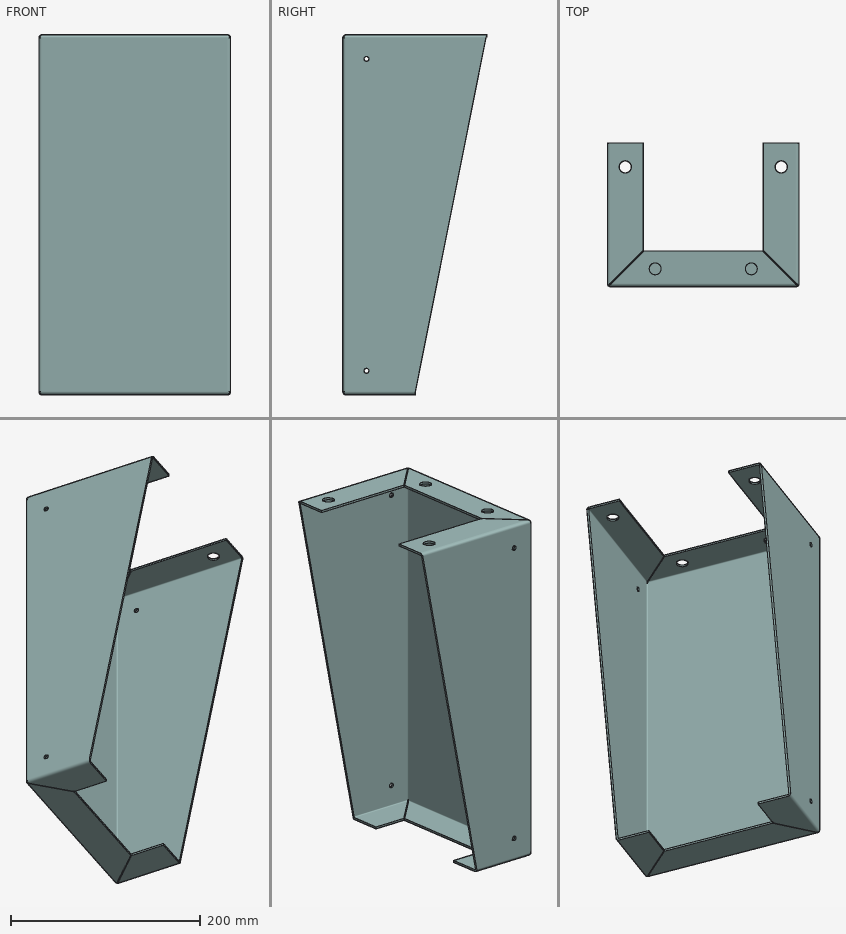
import cadquery as cq
import math

width = 203.0
top_depth = 152.5
bottom_depth = 77.0
height = 381.0

thickness = 2.3
bend_radius = 3.5
inner_bend_radius = bend_radius - thickness
flange_width = 38.0
mitre_gap = 0.8
edge_setback = 0.8

mount_hole_diameter = 12.5
side_mount_inset = 19.0
side_mount_rear_inset = 25.5
front_mount_inset = 50.5
front_mount_depth = 19.0

side_hole_diameter = 5.0
side_hole_depth = 25.0
side_hole_end_inset = 25.5

half_width = width / 2


def rounded_tray(inset, radius):
    """Block inset from the envelope, rounded at the front and along the top and bottom sides."""
    block = cq.Workplane("XY").box(
        width - 2 * inset, top_depth - inset, height - 2 * inset, centered=(True, False, False)
    )
    block = block.translate((0, inset, inset))
    return block.edges("not >Y").fillet(radius)


def folded_shell():
    """Front wall, two side walls and closed ends, open at the rear."""
    return rounded_tray(0, bend_radius).cut(rounded_tray(thickness, inner_bend_radius))


def flange_opening():
    """Space left between the inner edges of the flanges at both ends."""
    opening = cq.Workplane("XY").box(
        width - 2 * flange_width, top_depth, height, centered=(True, False, False)
    )
    return opening.translate((0, flange_width, 0))


def rear_trim():
    """Everything behind the sloping rear edges of the side walls."""
    top_bend = height - bend_radius
    outline = [
        (bottom_depth, 0),
        (bottom_depth, bend_radius),
        (top_depth - edge_setback, top_bend),
        (top_depth - edge_setback, height - thickness),
        (top_depth, height - thickness),
        (top_depth, 0),
    ]
    return cq.Workplane("YZ").polyline(outline).close().extrude(half_width, both=True)


def mitre_slits():
    """Diagonal slits that part the neighbouring flanges and their bends at the front corners."""
    half_slit = mitre_gap / 2 * math.sqrt(2)
    slits = cq.Workplane("XY")
    for side in (-1, 1):
        outer_x = side * half_width
        inner_x = outer_x - side * flange_width
        outline = [
            (outer_x - half_slit, 0),
            (outer_x + half_slit, 0),
            (inner_x + half_slit, flange_width),
            (inner_x - half_slit, flange_width),
        ]
        for level in (0, height - bend_radius):
            slit = cq.Workplane("XY", origin=(0, 0, level)).polyline(outline).close().extrude(bend_radius)
            slits = slits.add(slit)
    return slits.combine()


def mount_holes():
    """Four vertical holes through the top flanges only."""
    side_x = half_width - side_mount_inset
    front_x = half_width - front_mount_inset
    side_y = top_depth - side_mount_rear_inset
    centres = [(sign * side_x, side_y) for sign in (-1, 1)]
    centres += [(sign * front_x, front_mount_depth) for sign in (-1, 1)]
    return (
        cq.Workplane("XY", origin=(0, 0, height - bend_radius))
        .pushPoints(centres)
        .circle(mount_hole_diameter / 2)
        .extrude(bend_radius)
    )


def side_holes():
    """Holes near the front corners, straight across both side walls."""
    centres = [(side_hole_depth, z) for z in (side_hole_end_inset, height - side_hole_end_inset)]
    return (
        cq.Workplane("YZ")
        .pushPoints(centres)
        .circle(side_hole_diameter / 2)
        .extrude(half_width, both=True)
    )


result = folded_shell()
for removed in (rear_trim(), flange_opening(), mitre_slits(), mount_holes(), side_holes()):
    result = result.cut(removed)